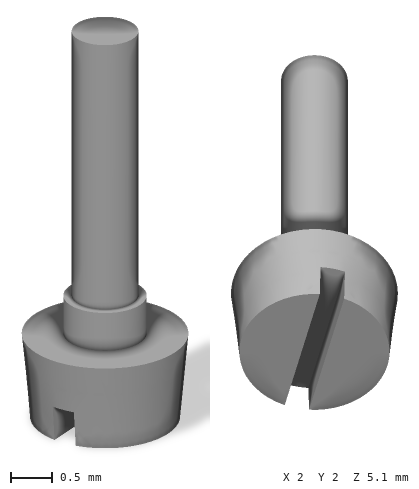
import cadquery as cq

total_height = 5.1
head_height = 1.1
collar_height = 0.5
shaft_height = total_height - head_height - collar_height

head_top_diameter = 2.0
head_bottom_diameter = 1.8
collar_diameter = 1.0
shaft_diameter = 0.8

slot_width = 0.3
slot_depth = 0.46


def tapered_head():
    """Head that widens from its bottom face up to the collar."""
    return (
        cq.Workplane("XY")
        .circle(head_bottom_diameter / 2)
        .workplane(offset=head_height)
        .circle(head_top_diameter / 2)
        .loft(ruled=True)
    )


def driver_slot():
    return cq.Workplane("XY").rect(slot_width, head_top_diameter).extrude(slot_depth)


head = tapered_head().cut(driver_slot())
collar = cq.Workplane("XY").workplane(offset=head_height).circle(collar_diameter / 2).extrude(collar_height)
shaft = (
    cq.Workplane("XY")
    .workplane(offset=head_height + collar_height)
    .circle(shaft_diameter / 2)
    .extrude(shaft_height)
)

result = head.union(collar).union(shaft)